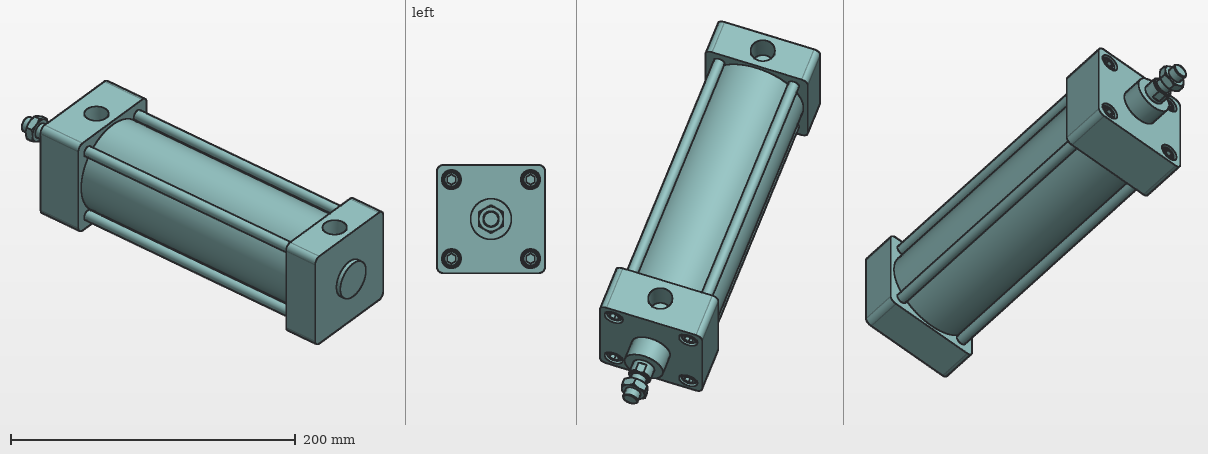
import cadquery as cq
import math

total_length = 295.3
cap_side = 76.2
cap_corner_radius = 4.7

front_cap_start = 43.7
front_cap_length = 34.3
rear_cap_length = 26.3
boss_diameter = 28.5
front_boss_length = 15.0
rear_boss_length = 3.5
front_cap_end = front_cap_start + front_cap_length
rear_cap_end = total_length - rear_boss_length
rear_cap_start = rear_cap_end - rear_cap_length

port_mouth_diameter = 17.0
port_floor_diameter = 15.5
port_depth = 19.0
front_port_x = 63.5
rear_port_x = (rear_cap_start + rear_cap_end) / 2

tube_outer_diameter = 70.0
tube_bore_diameter = 63.5

rod_diameter = 16.0
rod_thread_diameter = 11.2
rod_thread_length = 19.0
rod_chamfer = 1.0
rod_thread_chamfer = 0.5
wrench_flat_length = 7.5
wrench_flat_distance = 14.8

nut_start = 6.5
nut_thickness = 6.2
nut_across_flats = 17.0
nut_chamfer_length = 1.0

tie_rod_spacing = 55.5
tie_rod_diameter = 8.0
head_diameter = 11.8
head_face_diameter = 9.7
head_length = 8.0
counterbore_diameter = 13.5
head_recess = 1.0
counterbore_depth = head_recess + head_length
socket_across_flats = 6.2
socket_depth = 3.8
tie_rod_engagement = rear_cap_length / 2
tie_rod_end = rear_cap_start + tie_rod_engagement


def disc(diameter, start, length, y=0.0, z=0.0):
    """Round bar along X."""
    return cq.Workplane("YZ", origin=(start, y, z)).circle(diameter / 2).extrude(length)


def hexagon(across_flats, start, length, y=0.0, z=0.0):
    """Hexagonal bar along X with its corners pointing up and down."""
    corner_diameter = across_flats / math.cos(math.pi / 6)
    return (
        cq.Workplane("YZ", origin=(start, y, z))
        .transformed(rotate=(0, 0, 90))
        .polygon(6, corner_diameter)
        .extrude(length)
    )


def cap_block(start, length):
    """Square block with its four long edges rounded."""
    block = cq.Workplane("YZ", origin=(start, 0, 0)).rect(cap_side, cap_side).extrude(length)
    return block.edges("|X").fillet(cap_corner_radius)


def port(x):
    """Blind hole in the top of a cap, narrowing slightly from its mouth to its floor."""
    return (
        cq.Workplane("XY", origin=(x, 0, cap_side / 2))
        .circle(port_mouth_diameter / 2)
        .workplane(offset=-port_depth)
        .circle(port_floor_diameter / 2)
        .loft()
    )


def tie_rod_centers():
    half = tie_rod_spacing / 2
    return [(y, z) for y in (-half, half) for z in (-half, half)]


def make_front_cap():
    cap = cap_block(front_cap_start, front_cap_length)
    cap = cap.union(disc(boss_diameter, front_cap_start - front_boss_length, front_boss_length))
    cap = cap.cut(disc(rod_diameter, 0, front_cap_end))
    for y, z in tie_rod_centers():
        cap = cap.cut(disc(counterbore_diameter, front_cap_start, counterbore_depth, y, z))
        cap = cap.cut(disc(tie_rod_diameter, front_cap_start, front_cap_length, y, z))
    return cap.cut(port(front_port_x))


def make_rear_cap():
    cap = cap_block(rear_cap_start, rear_cap_length)
    cap = cap.union(disc(boss_diameter, rear_cap_end, rear_boss_length))
    for y, z in tie_rod_centers():
        cap = cap.cut(disc(tie_rod_diameter, rear_cap_start, tie_rod_engagement, y, z))
    return cap.cut(port(rear_port_x))


def make_tube():
    length = rear_cap_start - front_cap_end
    tube = disc(tube_outer_diameter, front_cap_end, length)
    return tube.cut(disc(tube_bore_diameter, front_cap_end, length))


def make_rod():
    """Rod through the front cap, with a threaded end and two wrench flats."""
    shank = disc(rod_diameter, rod_thread_length, front_cap_end - rod_thread_length)
    shank = shank.faces("<X").chamfer(rod_chamfer)
    flats = (
        cq.Workplane("XY")
        .box(wrench_flat_length, rod_diameter, rod_diameter, centered=(False, True, False))
        .translate((rod_thread_length, 0, wrench_flat_distance / 2))
    )
    shank = shank.cut(flats).cut(flats.mirror("XY"))
    thread = disc(rod_thread_diameter, 0, rod_thread_length).faces("<X").chamfer(rod_thread_chamfer)
    return shank.union(thread)


def make_nut():
    """Hexagonal nut with its corners chamfered on both faces."""
    corner_radius = nut_across_flats / math.cos(math.pi / 6) / 2
    face_radius = nut_across_flats / 2
    envelope = (
        cq.Workplane("XY")
        .moveTo(nut_start, 0)
        .lineTo(nut_start, face_radius)
        .lineTo(nut_start + nut_chamfer_length, corner_radius)
        .lineTo(nut_start + nut_thickness - nut_chamfer_length, corner_radius)
        .lineTo(nut_start + nut_thickness, face_radius)
        .lineTo(nut_start + nut_thickness, 0)
        .close()
        .revolve(360, (0, 0, 0), (1, 0, 0))
    )
    nut = hexagon(nut_across_flats, nut_start, nut_thickness).intersect(envelope)
    return nut.cut(disc(rod_thread_diameter, nut_start, nut_thickness))


def make_tie_rod(y, z):
    """Long screw with a chamfered socket head."""
    head_start = front_cap_start + head_recess
    head = disc(head_diameter, head_start, head_length, y, z)
    head = head.faces("<X").chamfer((head_diameter - head_face_diameter) / 2)
    head = head.cut(hexagon(socket_across_flats, head_start, socket_depth, y, z))
    shank_start = head_start + head_length
    return head.union(disc(tie_rod_diameter, shank_start, tie_rod_end - shank_start, y, z))


front_cap = make_front_cap()
rear_cap = make_rear_cap()
tube = make_tube()
rod = make_rod()
nut = make_nut()
tie_rods = [make_tie_rod(y, z) for y, z in tie_rod_centers()]

result = cq.Compound.makeCompound(
    [
        front_cap.val(),
        rear_cap.val(),
        tube.val(),
        rod.val(),
        nut.val(),
        *[tie_rod.val() for tie_rod in tie_rods],
    ]
)